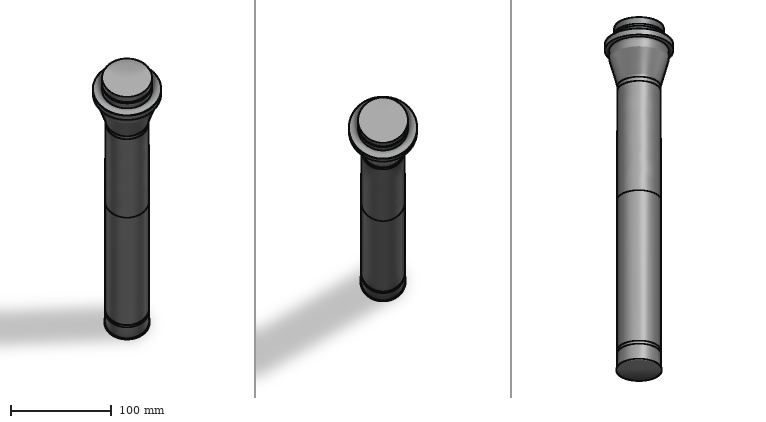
import cadquery as cq
import math

TOTAL_HEIGHT = 385.0
JOINT_Z = 192.0
SHAFT_DIAMETER = 44.0

TUBE_GROOVE_DIAMETER = 43.5
TUBE_GROOVE_BOTTOM_Z = 20.0
TUBE_GROOVE_TOP_Z = 23.5
BEAD_DIAMETER = 45.5
BEAD_BOTTOM_Z = 1.0
BEAD_TOP_Z = 3.0

NECK_DIAMETER = 43.5
NECK_GROOVE_DIAMETER = 43.0
NECK_GROOVE_BOTTOM_Z = 315.0
NECK_GROOVE_TOP_Z = 319.5

FLARE_BOTTOM_Z = NECK_GROOVE_TOP_Z
FLARE_BLEND_RADIUS = 13.5
COLLAR_BOTTOM_Z = 349.5
COLLAR_DIAMETER = 59.0
FLANGE_BOTTOM_Z = 360.5
FLANGE_TOP_Z = 367.3
FLANGE_DIAMETER = 68.0
FLANGE_CHAMFER = 0.5

PLUG_DIAMETER = 50.0
PLUG_GROOVE_DIAMETER = 49.5
PLUG_GROOVE_BOTTOM_Z = 375.0
PLUG_GROOVE_TOP_Z = 377.3
PLUG_RIM_DIAMETER = 49.3
PLUG_RIM_HEIGHT = 1.5


def cylinder(diameter, bottom_z, top_z):
    """Solid cylinder on the Z axis."""
    return cq.Workplane("XY", origin=(0, 0, bottom_z)).circle(diameter / 2).extrude(top_z - bottom_z)


def cone(bottom_diameter, top_diameter, bottom_z, top_z):
    """Solid truncated cone on the Z axis."""
    return (
        cq.Workplane("XZ")
        .moveTo(0, bottom_z)
        .lineTo(bottom_diameter / 2, bottom_z)
        .lineTo(top_diameter / 2, top_z)
        .lineTo(0, top_z)
        .close()
        .revolve(360, (0, 0, 0), (0, 1, 0))
    )


def cut_groove(body, outer_diameter, groove_diameter, bottom_z, top_z):
    """Turn a shallow rectangular groove into a body of revolution."""
    ring = cylinder(outer_diameter, bottom_z, top_z).cut(cylinder(groove_diameter, bottom_z, top_z))
    return body.cut(ring)


def make_foot():
    """Half-round bead around a shallow conical underside."""
    bead_radius = (BEAD_TOP_Z - BEAD_BOTTOM_Z) / 2
    bead_center_r = BEAD_DIAMETER / 2 - bead_radius
    return (
        cq.Workplane("XZ")
        .lineTo(bead_center_r, BEAD_BOTTOM_Z)
        .threePointArc((BEAD_DIAMETER / 2, BEAD_BOTTOM_Z + bead_radius), (bead_center_r, BEAD_TOP_Z))
        .lineTo(0, BEAD_TOP_Z)
        .close()
        .revolve(360, (0, 0, 0), (0, 1, 0))
    )


def make_tube():
    """Lower shaft standing on its beaded foot."""
    shaft_bottom_z = (BEAD_BOTTOM_Z + BEAD_TOP_Z) / 2
    shaft = cylinder(SHAFT_DIAMETER, shaft_bottom_z, JOINT_Z)
    shaft = cut_groove(shaft, SHAFT_DIAMETER, TUBE_GROOVE_DIAMETER, TUBE_GROOVE_BOTTOM_Z, TUBE_GROOVE_TOP_Z)
    return shaft.union(make_foot())


def make_flare():
    """Cone widening from the neck to the collar, starting with a tangent concave arc."""
    neck_r = NECK_DIAMETER / 2
    collar_r = COLLAR_DIAMETER / 2
    arc_center_r = neck_r + FLARE_BLEND_RADIUS
    reach_r = collar_r - arc_center_r
    reach_z = COLLAR_BOTTOM_Z - FLARE_BOTTOM_Z
    reach = math.hypot(reach_r, reach_z)
    angle = math.atan2(reach_r, reach_z) + math.asin(FLARE_BLEND_RADIUS / reach)

    def arc_point(turn):
        return (
            arc_center_r - FLARE_BLEND_RADIUS * math.cos(turn),
            FLARE_BOTTOM_Z + FLARE_BLEND_RADIUS * math.sin(turn),
        )

    return (
        cq.Workplane("XZ")
        .moveTo(0, FLARE_BOTTOM_Z)
        .lineTo(neck_r, FLARE_BOTTOM_Z)
        .threePointArc(arc_point(angle / 2), arc_point(angle))
        .lineTo(collar_r, COLLAR_BOTTOM_Z)
        .lineTo(0, COLLAR_BOTTOM_Z)
        .close()
        .revolve(360, (0, 0, 0), (0, 1, 0))
    )


def make_plug():
    """Grooved cylinder above the flange, ending in a slightly tapered rim."""
    rim_bottom_z = TOTAL_HEIGHT - PLUG_RIM_HEIGHT
    plug = cylinder(PLUG_DIAMETER, FLANGE_TOP_Z, rim_bottom_z)
    plug = cut_groove(plug, PLUG_DIAMETER, PLUG_GROOVE_DIAMETER, PLUG_GROOVE_BOTTOM_Z, PLUG_GROOVE_TOP_Z)
    return plug.union(cone(PLUG_DIAMETER, PLUG_RIM_DIAMETER, rim_bottom_z, TOTAL_HEIGHT))


def make_head():
    """Tapered shaft, groove, flare, collar, flange and plug in one piece."""
    shaft = cone(SHAFT_DIAMETER, NECK_DIAMETER, JOINT_Z, NECK_GROOVE_BOTTOM_Z)
    groove_floor = cylinder(NECK_GROOVE_DIAMETER, NECK_GROOVE_BOTTOM_Z, NECK_GROOVE_TOP_Z)
    collar = cylinder(COLLAR_DIAMETER, COLLAR_BOTTOM_Z, FLANGE_BOTTOM_Z)
    flange = cylinder(FLANGE_DIAMETER, FLANGE_BOTTOM_Z, FLANGE_TOP_Z)
    flange = flange.faces(">Z").edges().chamfer(FLANGE_CHAMFER)
    head = shaft
    for section in (groove_floor, make_flare(), collar, flange, make_plug()):
        head = head.union(section)
    return head


tube = make_tube()
head = make_head()

result = cq.Compound.makeCompound([tube.val(), head.val()])